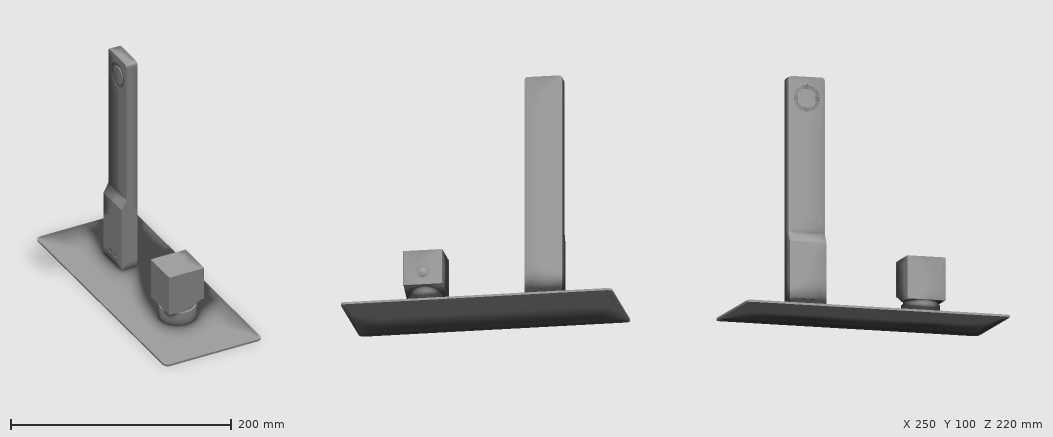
import cadquery as cq
import math

plate_length = 250.0
plate_width = 100.0
plate_thickness = 2.0
plate_corner_radius = 5.0

spout_x = -54.8
spout_width = 34.8
spout_depth = 16.5
spout_upper_depth = 11.5
spout_top_z = 220.0
spout_corner_radius = 3.0
ramp_bottom_z = 66.8
ramp_top_z = 76.0
spout_back_y = spout_depth / 2
spout_lower_front_y = -spout_depth / 2
spout_upper_front_y = spout_back_y - spout_upper_depth

aerator_z = 200.0
aerator_outer_radius = 12.8
aerator_rim_radius = 12.0
aerator_inner_radius = 9.5
aerator_rim_depth = 0.5
aerator_groove_depth = 1.0
notch_count = 4
notch_inner_radius = 8.8
notch_width = 4.5
notch_depth = 1.5

socket_z = 12.0
socket_spacing = 8.2
socket_radius = 2.5
socket_floor_radius = 1.8
socket_depth = 0.8

handle_x = 54.8
collar_radius = 17.5
collar_top_z = 16.5
collar_chamfer = 1.0

ball_radius = 16.2
ball_centre_z = 15.0

handle_side = 36.0
handle_bottom_z = 18.0
handle_top_z = 57.8
handle_edge_radius = 0.5
undercut_back_z = 25.2
undercut_land = 3.0

button_z = 37.0
button_radius = 4.2
button_rim_height = 0.8
button_height = 2.0


def make_plate():
    plate = cq.Workplane("XY").box(plate_length, plate_width, plate_thickness, centered=(True, True, False))
    return plate.edges("|Z").fillet(plate_corner_radius)


def make_spout():
    profile = [
        (spout_back_y, plate_thickness),
        (spout_back_y, spout_top_z),
        (spout_upper_front_y, spout_top_z),
        (spout_upper_front_y, ramp_top_z),
        (spout_lower_front_y, ramp_bottom_z),
        (spout_lower_front_y, plate_thickness),
    ]
    spout = (
        cq.Workplane("YZ", origin=(spout_x, 0, 0))
        .polyline(profile)
        .close()
        .extrude(spout_width / 2, both=True)
    )
    return spout.faces(">Z").edges("|Y").fillet(spout_corner_radius)


def aerator_plane():
    """Work plane on the upper front face of the spout, centred on the aerator."""
    return cq.Workplane("XZ", origin=(spout_x, spout_upper_front_y, aerator_z))


def aerator_ring(outer_radius, inner_radius, depth):
    """Ring-shaped cutter that goes into the spout from its upper front face."""
    return aerator_plane().circle(outer_radius).circle(inner_radius).extrude(-depth)


def make_aerator_groove():
    rim = aerator_ring(aerator_outer_radius, aerator_inner_radius, aerator_rim_depth)
    groove = aerator_ring(aerator_rim_radius, aerator_inner_radius, aerator_groove_depth)
    return rim.union(groove).union(make_aerator_notches())


def make_aerator_notches():
    """Short radial bars, equally spaced around the aerator and trimmed to a ring."""
    ring = aerator_ring(aerator_rim_radius, notch_inner_radius, notch_depth)
    mid_radius = (aerator_rim_radius + notch_inner_radius) / 2
    bars = (
        aerator_plane()
        .polarArray(mid_radius, 0, 360, notch_count)
        .rect(2 * (aerator_rim_radius - notch_inner_radius), notch_width)
        .extrude(-notch_depth)
    )
    return ring.intersect(bars)


def make_socket(x):
    """Conical cutter for a recess in the lower front face of the spout."""
    cone = cq.Solid.makeCone(
        socket_radius,
        socket_floor_radius,
        socket_depth,
        pnt=cq.Vector(x, spout_lower_front_y, socket_z),
        dir=cq.Vector(0, 1, 0),
    )
    return cq.Workplane(obj=cone)


def make_collar():
    collar = (
        cq.Workplane("XY", origin=(handle_x, 0, plate_thickness))
        .circle(collar_radius)
        .extrude(collar_top_z - plate_thickness)
    )
    return collar.faces(">Z").chamfer(collar_chamfer)


def make_housing():
    housing = make_plate().union(make_spout()).union(make_collar())
    housing = housing.cut(make_aerator_groove())
    for side in (-1, 1):
        housing = housing.cut(make_socket(spout_x + side * socket_spacing / 2))
    return housing


def make_grip():
    half_side = handle_side / 2
    profile = [
        (-half_side, handle_bottom_z),
        (0, handle_bottom_z),
        (half_side - undercut_land, undercut_back_z),
        (half_side, undercut_back_z),
        (half_side, handle_top_z),
        (-half_side, handle_top_z),
    ]
    grip = cq.Workplane("YZ", origin=(handle_x, 0, 0)).polyline(profile).close().extrude(half_side, both=True)
    return grip.edges("|Z").fillet(handle_edge_radius)


def make_neck():
    """Slice of a ball that stands on the collar and ends inside the grip."""
    ball = cq.Workplane("XY", origin=(handle_x, 0, ball_centre_z)).sphere(ball_radius)
    slab = (
        cq.Workplane("XY", origin=(handle_x, 0, collar_top_z))
        .circle(ball_radius)
        .extrude(undercut_back_z - collar_top_z)
    )
    return ball.intersect(slab)


def make_button():
    """Short cylinder with a spherical cap, on the back face of the grip."""
    cap_height = button_height - button_rim_height
    sphere_radius = (button_radius**2 + cap_height**2) / (2 * cap_height)
    half_angle = math.asin(button_radius / sphere_radius) / 2
    arc_middle = (
        sphere_radius * math.sin(half_angle),
        button_height - sphere_radius * (1 - math.cos(half_angle)),
    )
    return (
        cq.Workplane("XY", origin=(handle_x, handle_side / 2, button_z))
        .lineTo(button_radius, 0)
        .lineTo(button_radius, button_rim_height)
        .threePointArc(arc_middle, (0, button_height))
        .close()
        .revolve(360, (0, 0, 0), (0, 1, 0))
    )


def make_handle():
    return make_grip().union(make_neck()).union(make_button())


housing = make_housing()
handle = make_handle()
result = cq.Compound.makeCompound([housing.val(), handle.val()])